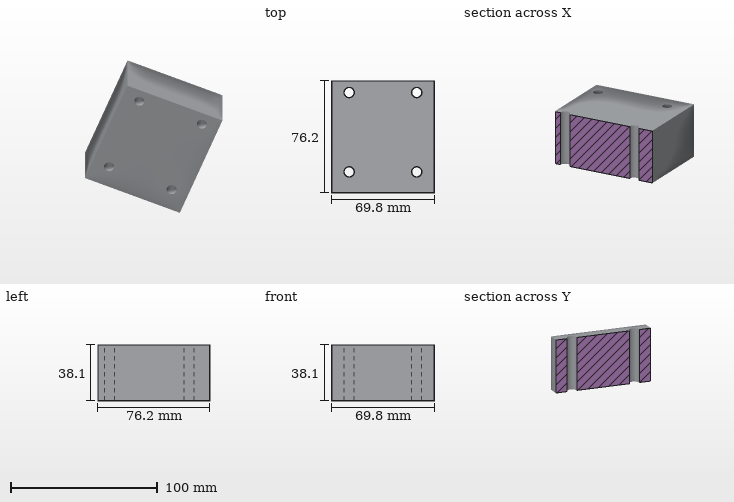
import cadquery as cq

width = 69.85
depth = 76.2
height = 38.1

bolt_diameter = 6.81
bolt_spacing_x = 46.0
bolt_spacing_y = 54.0
bolt_pattern_offset_y = 3.175


def make_block():
    """Plain rectangular block centred on the origin."""
    return cq.Workplane("XY").box(width, depth, height)


def drill_mounting_holes(body):
    """Drill the four mounting holes straight through from the top face."""
    return (
        body.faces(">Z")
        .workplane(origin=(0, bolt_pattern_offset_y, 0))
        .rect(bolt_spacing_x, bolt_spacing_y, forConstruction=True)
        .vertices()
        .hole(bolt_diameter)
    )


result = drill_mounting_holes(make_block())